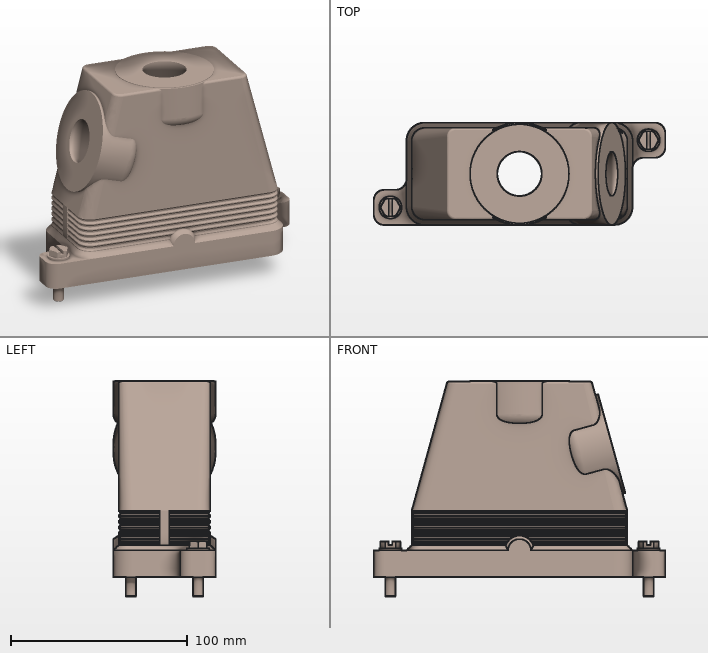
import cadquery as cq
import math

flange_length = 128.0
flange_width = 58.0
flange_height = 15.0
flange_corner = 10.5
shoulder = 3.0

lug_reach = 82.5
lug_width = 20.0
lug_corner = 6.0
screw_x = 73.0
screw_y = 19.0

wall_length = flange_length - 2 * shoulder
wall_width = flange_width - 2 * shoulder
wall_corner = flange_corner - shoulder
shoulder_top = flange_height + shoulder
end_slope = 15.4
hood_top = 111.0
rim_height = 0.4
roof = hood_top - rim_height
roof_corner = 5.0
roof_fillet = 1.3

groove_count = 6
groove_pitch = 3.25
groove_depth = 1.0
groove_flank = 1.0
groove_floor = 0.75
plain_strip = 5.5
taper_start = shoulder_top + groove_count * groove_pitch

boss_radius = flange_width / 2
boss_depth = 24.5
rim_radius = 28.0
boss_end_fillet = 6.0
bore_diameter = 25.0
side_boss_x = 52.2
side_boss_z = 75.5

bump_radius = 8.4
bump_face_radius = 6.5

shank_diameter = 6.0
shank_tip = -11.2
shank_chamfer = 0.5
collar_diameter = 12.7
collar_height = 1.4
head_flats = 10.0
head_height = 3.8
head_chamfer = 0.4
slot_width = 2.0
slot_depth = 2.0


def rounded_block(length, width, corner, bottom, height, taper=0):
    """Upright block with round corners, optionally leaning in by a taper angle."""
    outline = cq.Sketch().rect(length, width).vertices().fillet(corner)
    return cq.Workplane("XY").workplane(offset=bottom).placeSketch(outline).extrude(height, taper=taper)


def make_flange():
    flange = rounded_block(flange_length, flange_width, flange_corner, 0, flange_height)
    bevel = rounded_block(flange_length, flange_width, flange_corner, flange_height, shoulder, taper=45)
    return flange.union(bevel)


def make_lug(side):
    """Lug at +X +Y (side = 1) or -X -Y (side = -1)."""
    root = flange_length / 2
    outer_y = flange_width / 2
    inner_y = outer_y - lug_width
    lug = (
        cq.Workplane("XY")
        .moveTo(0, outer_y)
        .lineTo(lug_reach - lug_corner, outer_y)
        .radiusArc((lug_reach, outer_y - lug_corner), lug_corner)
        .lineTo(lug_reach, inner_y + lug_corner)
        .radiusArc((lug_reach - lug_corner, inner_y), lug_corner)
        .lineTo(root + lug_corner, inner_y)
        .radiusArc((root, inner_y - lug_corner), -lug_corner)
        .lineTo(0, inner_y - lug_corner)
        .close()
        .extrude(flange_height)
    )
    return lug if side > 0 else lug.rotate((0, 0, 0), (0, 0, 1), 180)


def make_hood_wall():
    foot = rounded_block(wall_length, wall_width, wall_corner, shoulder_top, taper_start - shoulder_top)
    lean_height = roof - taper_start
    roof_length = wall_length - 2 * lean_height * math.tan(math.radians(end_slope))
    foot_outline = cq.Sketch().rect(wall_length, wall_width).vertices().fillet(wall_corner)
    roof_outline = cq.Sketch().rect(roof_length, wall_width).vertices().fillet(roof_corner)
    upper = (
        cq.Workplane("XY")
        .placeSketch(
            foot_outline.moved(cq.Location(cq.Vector(0, 0, taper_start))),
            roof_outline.moved(cq.Location(cq.Vector(0, 0, roof))),
        )
        .loft(ruled=True)
        .faces(">Z")
        .edges()
        .fillet(roof_fillet)
    )
    return foot.union(upper)


def make_groove(top):
    """Ring that cuts one groove, its upper edge at the given height."""
    mouth = 2 * groove_flank + groove_floor
    bottom = top - mouth
    slope = math.degrees(math.atan(groove_depth / groove_flank))
    core_length = wall_length - 2 * groove_depth
    core_width = wall_width - 2 * groove_depth
    core_corner = wall_corner - groove_depth
    ring = cq.Workplane("XY").workplane(offset=bottom).rect(flange_length, flange_width).extrude(mouth)
    ring = ring.cut(rounded_block(core_length, core_width, core_corner, bottom, mouth))
    ring = ring.cut(rounded_block(wall_length, wall_width, wall_corner, bottom, groove_flank, taper=slope))
    ring = ring.cut(rounded_block(wall_length, wall_width, wall_corner, top, -groove_flank, taper=slope))
    strip = cq.Workplane("XY").workplane(offset=bottom).rect(2 * flange_length, plain_strip).extrude(mouth)
    return ring.cut(strip)


def make_bump(side):
    """Half-round bump on the +Y or -Y side, its rim coned back to the hood wall."""
    face_y = flange_width / 2
    wall_y = wall_width / 2
    bump = (
        cq.Workplane("XY")
        .moveTo(0, 0)
        .lineTo(bump_radius, 0)
        .lineTo(bump_radius, wall_y)
        .lineTo(bump_face_radius, face_y)
        .lineTo(0, face_y)
        .close()
        .revolve(360, (0, 0), (0, 1))
        .translate((0, 0, flange_height))
    )
    return bump if side > 0 else bump.mirror("XZ")


def make_boss(face_plane):
    """Cable entry boss running back from its outer face."""
    boss = cq.Workplane(face_plane).circle(boss_radius).extrude(-boss_depth)
    inner_end = cq.selectors.DirectionMinMaxSelector(face_plane.zDir, False)
    return boss.faces(inner_end).edges().fillet(boss_end_fillet)


def make_screw(x, y):
    """Slotted hexagon screw with a collar under its head."""
    collar_top = flange_height + collar_height
    head_top = collar_top + head_height
    head_corners = head_flats / math.cos(math.radians(30))
    shank = (
        cq.Workplane("XY")
        .workplane(offset=shank_tip)
        .circle(shank_diameter / 2)
        .extrude(flange_height - shank_tip)
        .faces("<Z")
        .chamfer(shank_chamfer)
    )
    collar = (
        cq.Workplane("XY")
        .workplane(offset=flange_height)
        .circle(collar_diameter / 2)
        .extrude(collar_height)
    )
    head = cq.Workplane("XY").workplane(offset=collar_top).polygon(6, head_corners).extrude(head_height)
    turned = (
        cq.Workplane("XY")
        .workplane(offset=collar_top)
        .circle(head_corners / 2)
        .extrude(head_height)
        .faces(">Z")
        .chamfer(head_chamfer)
    )
    slot = (
        cq.Workplane("XY")
        .workplane(offset=head_top)
        .rect(slot_width, 2 * head_flats)
        .extrude(-slot_depth)
    )
    screw = shank.union(collar).union(head.intersect(turned)).cut(slot)
    return screw.translate((x, y, 0))


lean = math.radians(end_slope)
top_face = cq.Plane(origin=(0, 0, roof), xDir=(1, 0, 0), normal=(0, 0, 1))
side_face = cq.Plane(
    origin=(side_boss_x, 0, side_boss_z),
    xDir=(0, 1, 0),
    normal=(math.cos(lean), 0, math.sin(lean)),
)

hood = make_flange().union(make_hood_wall())
for groove in range(groove_count):
    hood = hood.cut(make_groove(taper_start - groove * groove_pitch))
for side in (1, -1):
    hood = hood.union(make_lug(side)).union(make_bump(side))
for face in (top_face, side_face):
    hood = hood.union(make_boss(face))
hood = hood.union(cq.Workplane(top_face).circle(rim_radius).extrude(rim_height))

hood = hood.cut(cq.Workplane("XY").circle(bore_diameter / 2).extrude(hood_top))
side_bore_depth = side_boss_x / math.cos(lean)
hood = hood.cut(cq.Workplane(side_face).circle(bore_diameter / 2).extrude(-side_bore_depth))

screw_places = [(side * screw_x, side * screw_y) for side in (1, -1)]
hood = hood.cut(cq.Workplane("XY").pushPoints(screw_places).circle(shank_diameter / 2).extrude(flange_height))
screws = [make_screw(x, y) for x, y in screw_places]

result = cq.Compound.makeCompound([hood.val(), *[screw.val() for screw in screws]])